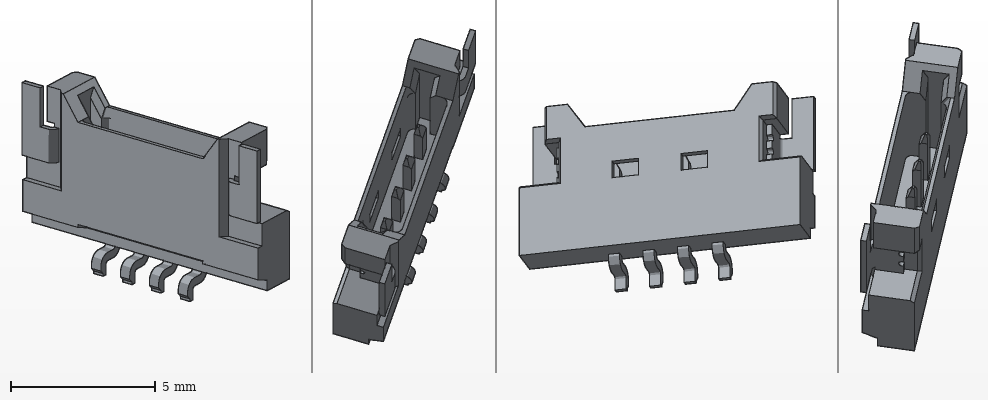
import cadquery as cq
import math

DIAGONAL = math.sqrt(0.5)


length = 10.15
depth = 1.85
height = 5.48
half_length = length / 2

cavity_half = 2.69
cavity_back = -0.25
cavity_front = -1.7
cavity_floor = 1.22
cavity_corner_radius = 0.22
wall_top = 4.57
tower_top_half = 3.33
lead_in_width = 0.11
lead_in_corner_radius = 0.03
lead_in_height = 0.35

key_half = 3.17
key_back = -0.48
key_front = -1.02
key_flare_width = 0.2
key_flare_height = 0.35

window_width = 0.95
window_bottom = 2.54
window_top = 3.16

foot_front = -1.31
foot_height = 0.4
end_roof_height = 0.6
middle_roof_height = 0.71
middle_slope_depth = 0.14

recess_depth = 0.23
recess_floor_y = recess_depth - depth
recess_bottom = 1.8
recess_half = 3.4
recess_flank_width = 0.22

tower_half = 4.19
neck_half = 3.68
notch_bottom = 2.64
notch_top = 4.14
notch_bevel_depth = 0.15
notch_bevel_width = 0.1

tab_thickness = 0.2
tab_front = -1.9
tab_bottom = 2.74
tab_step = 4.01
tab_upper_half = 4.28
tab_inner_radius = 0.09
tab_outer_radius = tab_inner_radius + tab_thickness
tab_plate_half = neck_half + tab_thickness
tab_plate_end = -0.61
tab_bend_half = tab_plate_half + tab_inner_radius
tab_bend_y = tab_front + tab_outer_radius
scallop_radius = 0.11
scallop_depth = 0.16
scallop_heights = (3.14, 3.64)

toe_front = tab_front
pin_count = 4
pin_pitch = 1.25
pin_width = 0.41
pin_thickness = 0.31
pin_back = -0.76
pin_front = pin_back - pin_thickness
pin_tip_base = 3.15
pin_tip_top = 3.45
pin_tip_width = 0.1
pin_tip_thickness = 0.07
pin_front_relief = 0.08
pin_relief_height = 0.12
pin_tip_offset = 0.03
bend_inner_radius = 0.1
bend_outer_radius = bend_inner_radius + pin_thickness
upper_bend_y = pin_front - bend_inner_radius
upper_bend_z = -0.1
arm_top = upper_bend_z - bend_inner_radius
arm_bottom = upper_bend_z - bend_outer_radius
lower_bend_y = toe_front + bend_outer_radius
lower_bend_z = arm_top - bend_outer_radius
foot_back = lower_bend_y - bend_inner_radius
pin_bottom = -1.02
toe_top = -0.77
toe_bottom = -0.91
toe_width = 0.13


def box(x0, x1, y0, y1, z0, z1):
    """Box between two opposite corners."""
    return cq.Workplane("XY").box(x1 - x0, y1 - y0, z1 - z0, centered=False).translate((x0, y0, z0))


def extrude_yz(outline, x0, x1):
    """Extrude a closed Y-Z outline from x0 to x1."""
    return outline.extrude(x1 - x0).translate((x0, 0, 0))


def both_ends(shape):
    """The shape together with its mirror image about x = 0."""
    return shape.union(shape.mirror("YZ"))


def housing_block():
    """Outer block with sloped tower flanks and the stepped underside."""
    block = box(-half_length, half_length, -depth, 0, 0, height)
    opening = (
        cq.Workplane("XZ")
        .polyline([
            (-tower_top_half, height),
            (-cavity_half, wall_top),
            (cavity_half, wall_top),
            (tower_top_half, height),
        ])
        .close()
        .extrude(depth)
    )
    block = block.cut(opening)
    block = block.cut(underside_step(half_length, -depth, end_roof_height))
    middle_slope_front = foot_front - middle_slope_depth
    return block.cut(underside_step(cavity_half, middle_slope_front, middle_roof_height))


def underside_step(half_width, slope_front, roof_height):
    """Step cut below the front: its roof slopes up to slope_front, then runs level to the front."""
    profile = [(foot_front, 0), (foot_front, foot_height), (slope_front, roof_height)]
    if slope_front > -depth:
        profile.append((-depth, roof_height))
    profile.append((-depth, 0))
    outline = cq.Workplane("YZ").polyline(profile).close()
    return extrude_yz(outline, -half_width, half_width)


def corner_recess():
    """Front left recess with a sloped inner flank."""
    return (
        cq.Workplane("XY")
        .workplane(offset=recess_bottom)
        .polyline([
            (-half_length, -depth),
            (-recess_half, -depth),
            (-recess_half - recess_flank_width, recess_floor_y),
            (-half_length, recess_floor_y),
        ])
        .close()
        .extrude(height - recess_bottom)
    )


def notch_outline(growth):
    """Outline of the left side notch, enlarged by growth."""
    return [
        (-half_length - growth, notch_bottom - growth),
        (-neck_half + growth, notch_bottom - growth),
        (-neck_half + growth, notch_top + growth),
        (-tower_half + growth, notch_top + growth),
        (-tower_half + growth, height + growth),
        (-half_length - growth, height + growth),
    ]


def side_notch():
    """Left side notch, bevelled where it meets the back face."""
    through = cq.Workplane("XZ").polyline(notch_outline(0)).close().extrude(depth)
    bevel = (
        cq.Workplane("XZ")
        .polyline(notch_outline(notch_bevel_width))
        .close()
        .workplane(offset=notch_bevel_depth)
        .polyline(notch_outline(0))
        .close()
        .loft(ruled=True)
    )
    return through.union(bevel)


def cavity():
    """Main cavity with rounded corners and a sloped lead-in on the back wall."""
    pocket = box(-cavity_half, cavity_half, cavity_front, cavity_back, cavity_floor, height)
    pocket = pocket.edges("|Z").fillet(cavity_corner_radius)
    lead_in = cq.Workplane(cq.Solid.makeLoft(
        [
            lead_in_outline(wall_top - lead_in_height, cavity_back, cavity_corner_radius),
            lead_in_outline(wall_top, cavity_back + lead_in_width, lead_in_corner_radius),
        ],
        True,
    ))
    return pocket.union(lead_in)


def lead_in_outline(z, back, radius):
    """Back half of the cavity outline at height z, its two back corners rounded."""
    middle = (cavity_back + cavity_front) / 2
    corner = radius * (1 - DIAGONAL)
    return (
        cq.Workplane("XY", origin=(0, 0, z))
        .moveTo(-cavity_half, middle)
        .lineTo(-cavity_half, back - radius)
        .threePointArc((-cavity_half + corner, back - corner), (-cavity_half + radius, back))
        .lineTo(cavity_half - radius, back)
        .threePointArc((cavity_half - corner, back - corner), (cavity_half, back - radius))
        .lineTo(cavity_half, middle)
        .close()
        .wire()
        .val()
    )


def key_slot():
    """Left keying slot, its back and front flanks flared parallel to the tower flank."""
    slot = box(-key_half, -cavity_half, key_front, key_back, cavity_floor, height)
    flank_rise = (height - wall_top) / (tower_top_half - cavity_half)
    key_top = wall_top + flank_rise * (key_half - cavity_half)

    def flare(y_deep, y_mouth):
        deep = [
            (-cavity_half, y_deep, wall_top - key_flare_height),
            (-key_half, y_deep, key_top - key_flare_height),
        ]
        return sloped_wedge(deep, y_mouth - y_deep)

    back = flare(key_back, key_back + key_flare_width)
    front = flare(key_front, key_front - key_flare_width)
    return slot.union(back).union(front)


def sloped_wedge(deep_edge, spread):
    """Sheared prism over a deep edge, widening by spread over the flare height."""
    start, end = (cq.Vector(*point) for point in deep_edge)
    rise = cq.Vector(0, 0, key_flare_height)
    corners = [start, start + rise, start + rise + cq.Vector(0, spread, 0)]
    triangle = cq.Face.makeFromWires(cq.Wire.makePolygon(corners, close=True))
    return cq.Workplane(cq.Solid.extrudeLinear(triangle, end - start))


def back_window():
    """Left window through the back wall."""
    centre = -pin_pitch
    left = centre - window_width / 2
    right = centre + window_width / 2
    return box(left, right, cavity_back - cavity_corner_radius, 0, window_bottom, window_top)


def solder_tab():
    """Left solder tab: front plate, rounded bend and the plate set into the housing neck."""
    plate_back = tab_front + tab_thickness
    plate = box(-half_length, -tab_bend_half, tab_front, plate_back, tab_bottom, tab_step)
    upper = box(-half_length, -tab_upper_half, tab_front, plate_back, tab_step, height)
    outer_middle = tab_outer_radius * DIAGONAL
    inner_middle = tab_inner_radius * DIAGONAL
    bend = (
        cq.Workplane("XY")
        .workplane(offset=tab_bottom)
        .moveTo(-tab_bend_half, tab_front)
        .threePointArc(
            (-tab_bend_half + outer_middle, tab_bend_y - outer_middle),
            (-neck_half, tab_bend_y),
        )
        .lineTo(-tab_plate_half, tab_bend_y)
        .threePointArc(
            (-tab_bend_half + inner_middle, tab_bend_y - inner_middle),
            (-tab_bend_half, plate_back),
        )
        .close()
        .extrude(tab_step - tab_bottom)
    )
    inset = box(
        -tab_plate_half, -neck_half, recess_floor_y, tab_plate_end, notch_bottom, notch_top
    )
    for scallop_z in scallop_heights:
        inset = inset.cut(scallop(scallop_z))
    return plate.union(upper).union(bend).union(inset)


def scallop(centre_z):
    """Round-ended cut in the back edge of the inset plate."""
    centre_y = tab_plate_end - scallop_depth + scallop_radius
    slot = box(
        -tab_plate_half, -neck_half, centre_y, tab_plate_end,
        centre_z - scallop_radius, centre_z + scallop_radius,
    )
    tip = cq.Workplane("YZ").center(centre_y, centre_z).circle(scallop_radius)
    return slot.union(extrude_yz(tip, -tab_plate_half, -neck_half))


def pin(centre_x):
    """Gull-wing pin with a pyramid tip."""
    left = centre_x - pin_width / 2
    upper_front = pin_front + pin_front_relief
    outer_middle = bend_outer_radius * DIAGONAL
    inner_middle = bend_inner_radius * DIAGONAL
    body = (
        cq.Workplane("YZ")
        .moveTo(pin_back, pin_tip_base)
        .lineTo(pin_back, upper_bend_z)
        .threePointArc(
            (upper_bend_y + outer_middle, upper_bend_z - outer_middle), (upper_bend_y, arm_bottom)
        )
        .lineTo(lower_bend_y, arm_bottom)
        .threePointArc(
            (lower_bend_y - inner_middle, lower_bend_z + inner_middle), (foot_back, lower_bend_z)
        )
        .lineTo(foot_back, pin_bottom)
        .lineTo(toe_front + toe_width, pin_bottom)
        .lineTo(toe_front + toe_width, toe_bottom)
        .lineTo(toe_front, toe_top)
        .lineTo(toe_front, lower_bend_z)
        .threePointArc(
            (lower_bend_y - outer_middle, lower_bend_z + outer_middle), (lower_bend_y, arm_top)
        )
        .lineTo(upper_bend_y, arm_top)
        .threePointArc(
            (upper_bend_y + inner_middle, upper_bend_z - inner_middle), (pin_front, upper_bend_z)
        )
        .lineTo(pin_front, pin_tip_base - pin_relief_height)
        .lineTo(upper_front, pin_tip_base)
        .close()
    )
    tip = (
        cq.Workplane("XY", origin=(centre_x, (pin_back + upper_front) / 2, pin_tip_base))
        .rect(pin_width, pin_back - upper_front)
        .workplane(offset=pin_tip_top - pin_tip_base)
        .center(0, pin_tip_offset)
        .rect(pin_tip_width, pin_tip_thickness)
        .loft(ruled=True)
    )
    return extrude_yz(body, left, left + pin_width).union(tip)


housing = housing_block().cut(cavity())
for left_cut in (corner_recess(), side_notch(), key_slot(), back_window()):
    housing = housing.cut(both_ends(left_cut))

left_tab = solder_tab()
result = housing.union(left_tab).union(left_tab.mirror("YZ"))
for index in range(pin_count):
    result = result.union(pin((index - (pin_count - 1) / 2) * pin_pitch))